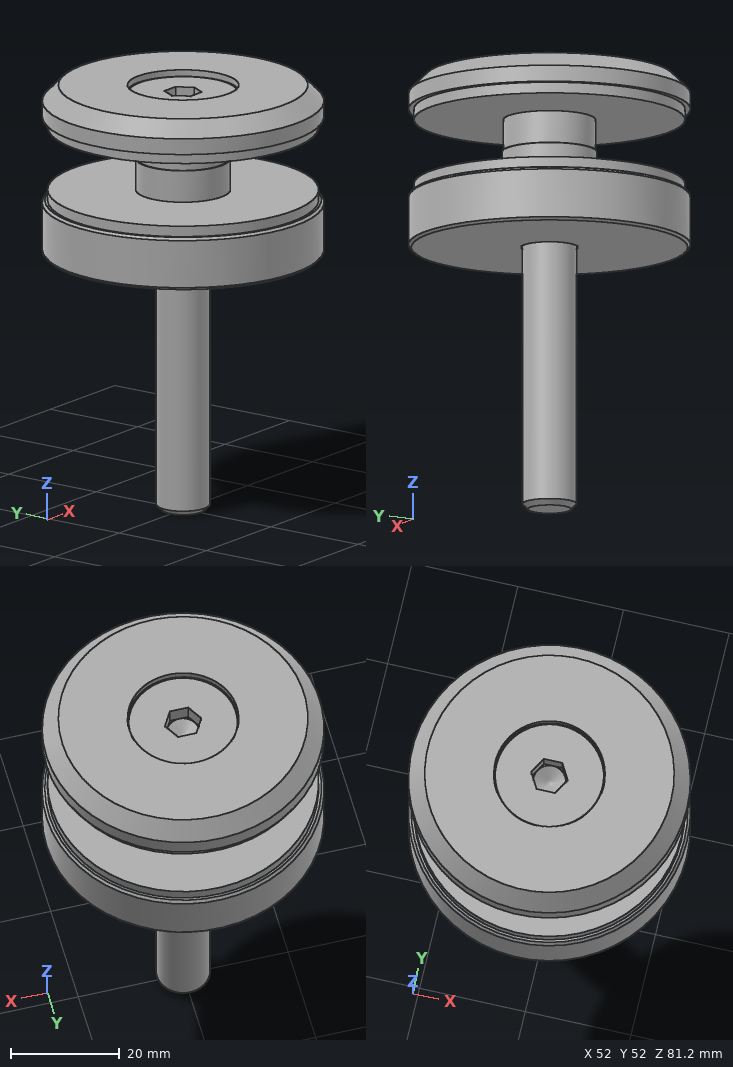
import cadquery as cq
import math


disc_diameter = 52.0
base_height = 10.0
base_chamfer = 0.5
cap_height = 6.0
cap_chamfer = 3.0

gasket_diameter = 50.0
gasket_thickness = 2.0

sleeve_lower_diameter = 17.5
sleeve_upper_diameter = 17.0
sleeve_step_height = 6.0
sleeve_length = 2 * sleeve_step_height

screw_length = 80.0
screw_diameter = 10.0
screw_head_diameter = 20.0
screw_tip_chamfer = 1.0
screw_head_height = (screw_head_diameter - screw_diameter) / 2
socket_across_flats = 6.0
socket_depth = 3.0
socket_drill_angle = 118.0

clearance_bore = 10.5
head_recess_diameter = 20.5
head_recess_depth = 1.25

lower_gasket_bottom = base_height
sleeve_bottom = lower_gasket_bottom + gasket_thickness
upper_gasket_bottom = sleeve_bottom + sleeve_length
cap_bottom = upper_gasket_bottom + gasket_thickness
cap_top = cap_bottom + cap_height
screw_top = cap_top - head_recess_depth


def cylinder(diameter, height, bottom):
    return cq.Workplane("XY", origin=(0, 0, bottom)).circle(diameter / 2).extrude(height)


def ring(diameter, height, bottom):
    """Disc with the screw clearance bore through it."""
    return cylinder(diameter, height, bottom).cut(cylinder(clearance_bore, height, bottom))


def cone_down(diameter, height, tip_diameter, top):
    """Cone that narrows downward from its large end at the level `top`."""
    return cq.Workplane(
        cq.Solid.makeCone(diameter / 2, tip_diameter / 2, height, pnt=(0, 0, top), dir=(0, 0, -1))
    )


def make_base():
    disc = cylinder(disc_diameter, base_height, 0).edges().chamfer(base_chamfer)
    return disc.cut(cylinder(clearance_bore, base_height, 0))


def make_gasket(bottom):
    return ring(gasket_diameter, gasket_thickness, bottom)


def make_sleeve():
    lower = ring(sleeve_lower_diameter, sleeve_step_height, sleeve_bottom)
    upper = ring(
        sleeve_upper_diameter,
        sleeve_length - sleeve_step_height,
        sleeve_bottom + sleeve_step_height,
    )
    return lower.union(upper)


def make_cap():
    disc = cylinder(disc_diameter, cap_height, cap_bottom).faces(">Z").edges().chamfer(cap_chamfer)
    recess = cylinder(head_recess_diameter, head_recess_depth, screw_top)
    countersink_depth = (screw_head_diameter - clearance_bore) / 2
    countersink = cone_down(screw_head_diameter, countersink_depth, clearance_bore, screw_top)
    bore = cylinder(clearance_bore, cap_height, cap_bottom)
    return disc.cut(recess).cut(countersink).cut(bore)


def make_screw():
    shank_length = screw_length - screw_head_height
    shank = cylinder(screw_diameter, shank_length, screw_top - screw_length)
    shank = shank.faces("<Z").edges().chamfer(screw_tip_chamfer)
    head = cone_down(screw_head_diameter, screw_head_height, screw_diameter, screw_top)

    half_drill_angle = math.radians(socket_drill_angle / 2)
    socket_across_corners = socket_across_flats / math.cos(math.pi / 6)
    socket_bottom = screw_top - socket_depth
    socket = (
        cq.Workplane("XY", origin=(0, 0, socket_bottom))
        .polygon(6, socket_across_corners)
        .extrude(socket_depth)
    )
    drill_point_depth = socket_across_flats / 2 / math.tan(half_drill_angle)
    drill_point = cone_down(socket_across_flats, drill_point_depth, 0, socket_bottom)
    return shank.union(head).cut(socket).cut(drill_point)


base = make_base()
gaskets = [make_gasket(bottom) for bottom in (lower_gasket_bottom, upper_gasket_bottom)]
sleeve = make_sleeve()
cap = make_cap()
screw = make_screw()

result = cq.Compound.makeCompound(
    [base.val(), *[gasket.val() for gasket in gaskets], sleeve.val(), cap.val(), screw.val()]
)